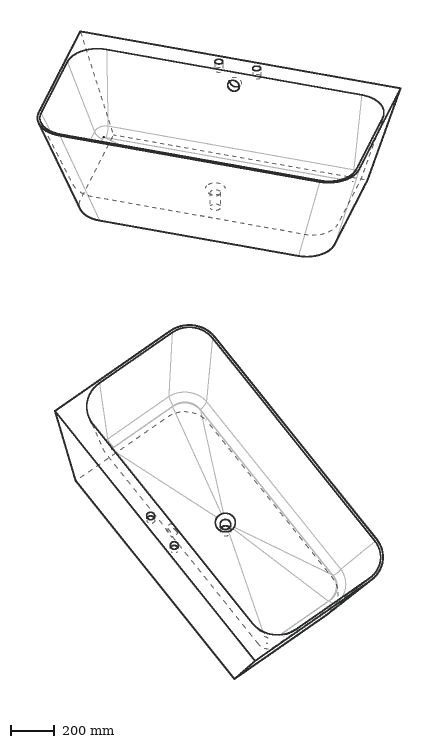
import cadquery as cq
import math

LENGTH = 1524.0
WIDTH = 800.0
HEIGHT = 550.0
BASE_LENGTH = 1210.0
BASE_WIDTH = 654.0
RIM_CORNER_RADIUS = 145.0
BASE_CORNER_RADIUS = 133.0

BASIN_RIM_HALF_LENGTH = 750.0
BASIN_RIM_BACK = -100.0
BASIN_RIM_FRONT = -788.0
BASIN_RIM_BACK_RADIUS = 143.0
BASIN_RIM_FRONT_RADIUS = 131.0
BASIN_DEPTH = 425.0
BASIN_FOOT_HALF_LENGTH = 625.0
BASIN_FOOT_BACK = -157.0
BASIN_FOOT_FRONT = -665.0
BASIN_FOOT_BACK_RADIUS = 43.0
BASIN_FOOT_FRONT_RADIUS = 122.0
FLOOR_FILLET = 41.0
FLOOR_Z = HEIGHT - BASIN_DEPTH

FLOOR_HALF_LENGTH = 593.0
FLOOR_BACK = -194.0
FLOOR_FRONT = -632.0
FLOOR_FRONT_RADIUS = 91.0
FLOOR_FALL = 21.0
DRAIN_Y = -WIDTH / 2
DRAIN_RADIUS = 45.0
DRAIN_HOLE_RADIUS = 25.0
DRAIN_SEAT_DEPTH = 23.0
DRAIN_Z = FLOOR_Z - FLOOR_FALL

TAP_SPACING = 180.0
TAP_Y = -43.0
TAP_RADIUS = 18.0
TAP_DEPTH = 45.0
OVERFLOW_RADIUS = 27.0
OVERFLOW_DROP = 70.0
OVERFLOW_BACK = -80.0


def corner_arc_middle(center_x, center_y, radius, x_side, y_side):
    """Middle point of a quarter-circle corner."""
    reach = radius * math.sqrt(0.5)
    return (center_x + x_side * reach, center_y + y_side * reach)


def outline(z, half_length, back, front, front_radius, back_radius=0):
    """Closed rectangle at height z, with rounded front corners and optionally rounded back corners."""
    inner_front_x = half_length - front_radius
    inner_front_y = front + front_radius
    inner_back_x = half_length - back_radius
    inner_back_y = back - back_radius
    path = cq.Workplane("XY", origin=(0, 0, z)).moveTo(-inner_back_x, back).lineTo(inner_back_x, back)
    if back_radius:
        middle = corner_arc_middle(inner_back_x, inner_back_y, back_radius, 1, 1)
        path = path.threePointArc(middle, (half_length, inner_back_y))
    path = path.lineTo(half_length, inner_front_y)
    middle = corner_arc_middle(inner_front_x, inner_front_y, front_radius, 1, -1)
    path = path.threePointArc(middle, (inner_front_x, front)).lineTo(-inner_front_x, front)
    middle = corner_arc_middle(-inner_front_x, inner_front_y, front_radius, -1, -1)
    path = path.threePointArc(middle, (-half_length, inner_front_y))
    if back_radius:
        path = path.lineTo(-half_length, inner_back_y)
        middle = corner_arc_middle(-inner_back_x, inner_back_y, back_radius, -1, 1)
        path = path.threePointArc(middle, (-inner_back_x, back))
    return path.close().val()


def ruled_solid(lower, upper):
    """Solid with straight sides running between two closed outlines."""
    return cq.Workplane(cq.Solid.makeLoft([lower, upper], True))


def drain_ring():
    """Circle around the drain, split in line with the corners of the floor."""
    front_x = FLOOR_HALF_LENGTH - FLOOR_FRONT_RADIUS
    side_y = FLOOR_FRONT + FLOOR_FRONT_RADIUS
    right_corners = [(FLOOR_HALF_LENGTH, FLOOR_BACK), (FLOOR_HALF_LENGTH, side_y), (front_x, FLOOR_FRONT)]
    right_angles = [math.atan2(y - DRAIN_Y, x) for x, y in right_corners]
    left_angles = [-math.pi - angle for angle in reversed(right_angles)]
    start_angle = math.pi - right_angles[0]

    def ring_point(angle):
        return (DRAIN_RADIUS * math.cos(angle), DRAIN_Y + DRAIN_RADIUS * math.sin(angle))

    path = cq.Workplane("XY", origin=(0, 0, DRAIN_Z)).moveTo(*ring_point(start_angle))
    previous = start_angle
    for angle in right_angles + left_angles:
        path = path.threePointArc(ring_point((previous + angle) / 2), ring_point(angle))
        previous = angle
    return path.wire().val()


def make_body():
    base = outline(0, BASE_LENGTH / 2, 0, -BASE_WIDTH, BASE_CORNER_RADIUS)
    rim = outline(HEIGHT, LENGTH / 2, 0, -WIDTH, RIM_CORNER_RADIUS)
    return ruled_solid(base, rim)


def make_basin():
    foot = outline(
        FLOOR_Z, BASIN_FOOT_HALF_LENGTH, BASIN_FOOT_BACK, BASIN_FOOT_FRONT,
        BASIN_FOOT_FRONT_RADIUS, BASIN_FOOT_BACK_RADIUS,
    )
    rim = outline(
        HEIGHT, BASIN_RIM_HALF_LENGTH, BASIN_RIM_BACK, BASIN_RIM_FRONT,
        BASIN_RIM_FRONT_RADIUS, BASIN_RIM_BACK_RADIUS,
    )
    return ruled_solid(foot, rim).faces("<Z").edges().fillet(FLOOR_FILLET)


def make_floor_fall():
    """Hollow under the flat basin floor, falling from its edges to the drain."""
    floor_edge = outline(FLOOR_Z, FLOOR_HALF_LENGTH, FLOOR_BACK, FLOOR_FRONT, FLOOR_FRONT_RADIUS)
    return ruled_solid(drain_ring(), floor_edge)


def make_drain():
    """Conical seat and the hole through the underside."""
    seat = (
        cq.Workplane("XY", origin=(0, DRAIN_Y, DRAIN_Z))
        .circle(DRAIN_RADIUS)
        .workplane(offset=-DRAIN_SEAT_DEPTH)
        .circle(DRAIN_HOLE_RADIUS)
        .loft(ruled=True)
    )
    hole = cq.Workplane("XY", origin=(0, DRAIN_Y, 0)).circle(DRAIN_HOLE_RADIUS).extrude(DRAIN_Z)
    return seat.union(hole)


def make_tap_holes():
    tap_places = [(-TAP_SPACING / 2, TAP_Y), (TAP_SPACING / 2, TAP_Y)]
    ledge = cq.Workplane("XY", origin=(0, 0, HEIGHT))
    return ledge.pushPoints(tap_places).circle(TAP_RADIUS).extrude(-TAP_DEPTH)


def make_overflow():
    """Blind round recess reaching back from the basin into the back wall."""
    back_end = cq.Workplane("XZ", origin=(0, OVERFLOW_BACK, HEIGHT - OVERFLOW_DROP))
    return back_end.circle(OVERFLOW_RADIUS).extrude(OVERFLOW_BACK - BASIN_FOOT_BACK)


basin = make_basin().union(make_floor_fall()).union(make_drain())
result = make_body().cut(basin).cut(make_tap_holes()).cut(make_overflow())